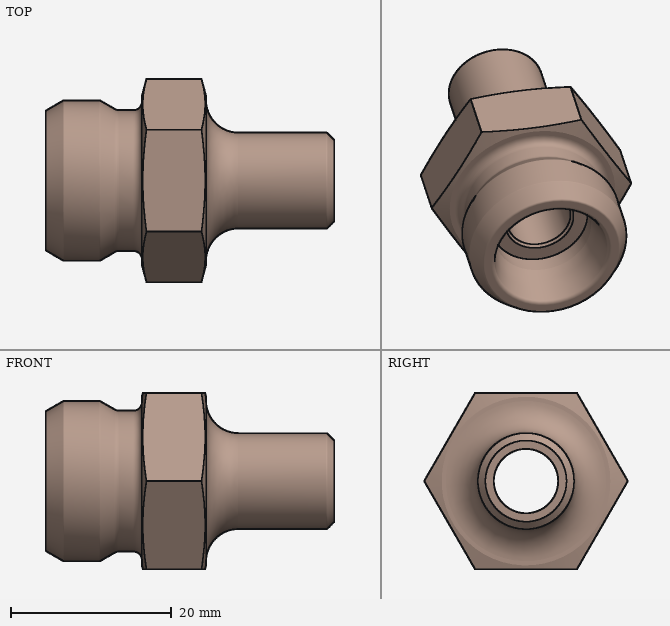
import cadquery as cq
import math

length = 36.0

collar_radius = 10.0
face_radius = 8.7
undercut_radius = 17.6 / 2
collar_end = 6.75
collar_edge_round = 0.3
collar_chamfer_angle = math.radians(30)
front_chamfer_length = (collar_radius - face_radius) / math.tan(collar_chamfer_angle)
rear_chamfer_length = (collar_radius - undercut_radius) / math.tan(collar_chamfer_angle)
undercut_fillet = 1.0
undercut_blend = 1.0

hex_start = 12.0
hex_end = 20.0
across_flats = 22.0
hex_turned_radius = 25.38 / 2
hex_chamfer_radius = 10.5
hex_chamfer_angle = math.radians(15)

spigot_radius = 12.0 / 2
spigot_fillet = 4.0
spigot_chamfer = 0.95
spigot_edge_round = 0.2

bore_radius = 8.0 / 2
bore_chamfer = 0.32
socket_radius = 12.2 / 2
socket_depth = 7.5
lip_radius = 7.65
lip_round = 0.5
cone_half_angle = math.radians(12)


def revolve_about_x(profile):
    return profile.close().revolve(360, (0, 0, 0), (1, 0, 0))


def make_body():
    """Turned outside: collar, undercut, core of the hexagon and spigot."""
    diagonal = math.sqrt(0.5)

    half_angle = collar_chamfer_angle / 2
    tangent_length = undercut_blend * math.tan(half_angle)
    corner_x = collar_end + rear_chamfer_length
    blend_start = (
        corner_x - tangent_length * math.cos(collar_chamfer_angle),
        undercut_radius + tangent_length * math.sin(collar_chamfer_angle),
    )
    blend_end_x = corner_x + tangent_length
    blend_middle = (
        blend_end_x - undercut_blend * math.sin(half_angle),
        undercut_radius + undercut_blend * (1 - math.cos(half_angle)),
    )
    undercut_middle = (
        hex_start - undercut_fillet * (1 - diagonal),
        undercut_radius + undercut_fillet * (1 - diagonal),
    )
    spigot_middle = (
        hex_end + spigot_fillet * (1 - diagonal),
        spigot_radius + spigot_fillet * (1 - diagonal),
    )
    profile = (
        cq.Workplane("XY")
        .lineTo(0, face_radius)
        .lineTo(front_chamfer_length, collar_radius)
        .lineTo(collar_end, collar_radius)
        .lineTo(*blend_start)
        .threePointArc(blend_middle, (blend_end_x, undercut_radius))
        .lineTo(hex_start - undercut_fillet, undercut_radius)
        .threePointArc(undercut_middle, (hex_start, undercut_radius + undercut_fillet))
        .lineTo(hex_end, spigot_radius + spigot_fillet)
        .threePointArc(spigot_middle, (hex_end + spigot_fillet, spigot_radius))
        .lineTo(length - spigot_chamfer, spigot_radius)
        .lineTo(length, spigot_radius - spigot_chamfer)
        .lineTo(length, 0)
    )
    body = revolve_about_x(profile)
    collar_zone = cq.selectors.BoxSelector(
        (-collar_edge_round, -length, -length),
        (collar_end + collar_edge_round, length, length),
        boundingbox=True,
    )
    body = body.edges("%CIRCLE").edges(collar_zone).fillet(collar_edge_round)

    chamfer_start = length - spigot_chamfer
    spigot_edge_zone = cq.selectors.BoxSelector(
        (chamfer_start - spigot_edge_round, -length, -length),
        (chamfer_start + spigot_edge_round, length, length),
        boundingbox=True,
    )
    return body.edges("%CIRCLE").edges(spigot_edge_zone).fillet(spigot_edge_round)


def make_hexagon():
    """Hexagon with corners on +Y and -Y, its corners trimmed and chamfered at both ends."""
    corner_radius = across_flats / 2 / math.cos(math.pi / 6)
    width = hex_end - hex_start
    prism = cq.Workplane("YZ", origin=(hex_start, 0, 0)).polygon(6, 2 * corner_radius).extrude(width)
    corner_setback = (hex_turned_radius - hex_chamfer_radius) * math.tan(hex_chamfer_angle)
    envelope = revolve_about_x(
        cq.Workplane("XY")
        .moveTo(hex_start, 0)
        .lineTo(hex_start, hex_chamfer_radius)
        .lineTo(hex_start + corner_setback, hex_turned_radius)
        .lineTo(hex_end - corner_setback, hex_turned_radius)
        .lineTo(hex_end, hex_chamfer_radius)
        .lineTo(hex_end, 0)
    )
    return prism.intersect(envelope)


def make_cavity():
    """Round lip, tapered seat, straight socket and through bore."""
    lip_sweep = math.pi / 2 - cone_half_angle
    lip_end_x = lip_round * (1 - math.sin(cone_half_angle))
    lip_end_radius = lip_radius - lip_round * math.cos(cone_half_angle)
    lip_middle = (
        lip_round * (1 - math.cos(lip_sweep / 2)),
        lip_radius - lip_round * math.sin(lip_sweep / 2),
    )
    cone_end = lip_end_x + (lip_end_radius - socket_radius) / math.tan(cone_half_angle)
    profile = (
        cq.Workplane("XY")
        .lineTo(0, lip_radius)
        .threePointArc(lip_middle, (lip_end_x, lip_end_radius))
        .lineTo(cone_end, socket_radius)
        .lineTo(socket_depth, socket_radius)
        .lineTo(socket_depth, bore_radius + bore_chamfer)
        .lineTo(socket_depth + bore_chamfer, bore_radius)
        .lineTo(length, bore_radius)
        .lineTo(length, 0)
    )
    return revolve_about_x(profile)


result = make_body().union(make_hexagon()).cut(make_cavity())